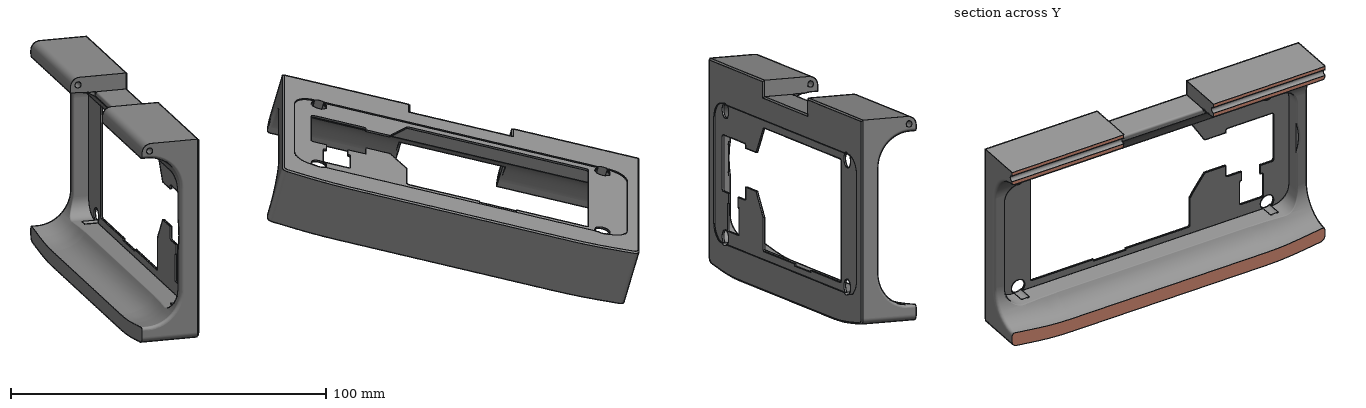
import cadquery as cq
import math

width = 117.0
depth = 19.0
height = 68.0
half_width = width / 2
overshoot = 1.0
margin = 0.1

lip_thickness = 5.0
lip_flat = 2.0
scoop_radius = 11.0
scoop_floor_y = lip_flat + scoop_radius
scoop_edge_radius = 1.0
scoop_top_z = height - lip_thickness

lip_straight_half = 36.1
lip_arc_run = 12.65
lip_rise_angle = 7.5
lip_arc_radius = lip_arc_run / math.sin(math.radians(lip_rise_angle))
bottom_corner_radius = 2.0
back_chamfer = 0.5

hinge_radius = 3.0
hinge_hole_diameter = 2.0
hinge_hole_inset = 2.5

gap_width = 33.4
gap_floor_z = 62.7
bar_depth = 10.6
bar_edge_radius = 0.7
bar_side_relief = 0.7

window_center_z = 32.6
window_width = 109.2
window_height = 45.0
window_corner_radius = 6.0
window_edge_radius = 0.4

clearance_radius = 15.6
clearance_x = 40.0
clearance_z = 35.9
clearance_floor_y = scoop_floor_y + 0.8

hole_diameter = 5.0
hole_spacing_x = 93.0
hole_spacing_z = 41.0
hole_depth = 5.3

plate_thickness = 0.6
plate_front_y = depth - 1.0

display_opening = (-41.9, 17.7, 12.6, 52.5)
display_step = (-18.3, -6.2, 12.0, window_center_z)
key_opening = (31.05, 49.0, 26.75, 45.0)
slot_opening = (36.25, 45.1, 14.45, 23.5)
slot_neck = (37.0, 44.0, 20.0, window_center_z)
opening_radius = 0.8
slot_radius = 0.5

funnel_end_x = 23.2
funnel_mouth_bottom = 23.5
funnel_mouth_top = 52.2
funnel_throat_bottom = 31.05
funnel_throat_top = 43.55


def lip_end(base_z, arc_radius, end_x):
    """Points of the right half of a lip line: arc start, arc middle, arc end and far end, as (x, z)."""

    def on_arc(angle):
        turn = math.radians(angle)
        return (lip_straight_half + arc_radius * math.sin(turn), base_z + arc_radius * (1 - math.cos(turn)))

    arc_end = on_arc(lip_rise_angle)
    rise = (end_x - arc_end[0]) * math.tan(math.radians(lip_rise_angle))
    return on_arc(0), on_arc(lip_rise_angle / 2), arc_end, (end_x, arc_end[1] + rise)


def mirrored(point):
    return (-point[0], point[1])


def frame_blank():
    """Front outline of the frame, extruded to its full depth."""
    start, middle, end, corner = lip_end(0, lip_arc_radius + lip_thickness, half_width)
    blank = (
        cq.Workplane("XZ")
        .moveTo(*mirrored(start))
        .lineTo(*start)
        .threePointArc(middle, end)
        .lineTo(*corner)
        .lineTo(half_width, height)
        .lineTo(gap_width / 2, height)
        .lineTo(gap_width / 2, gap_floor_z)
        .lineTo(-gap_width / 2, gap_floor_z)
        .lineTo(-gap_width / 2, height)
        .lineTo(-half_width, height)
        .lineTo(*mirrored(corner))
        .lineTo(*mirrored(end))
        .threePointArc(mirrored(middle), mirrored(start))
        .close()
        .extrude(-depth)
    )
    bottom_corners = cq.selectors.BoxSelector(
        (-width, -overshoot, corner[1] - margin), (width, depth + overshoot, corner[1] + margin)
    )
    blank = blank.edges("|Y").edges(bottom_corners).fillet(bottom_corner_radius)
    blank = blank.faces(">Y").chamfer(back_chamfer)
    return blank.edges("|X and <Y and >Z").fillet(hinge_radius)


def scoop_cutter():
    """Channel between the lips; its lower part follows the line of the bottom lip."""
    bend = scoop_radius * math.sqrt(0.5)
    upper_center_z = scoop_top_z - scoop_radius
    lower_center_z = lip_thickness + scoop_radius
    lip_line = lip_end(lip_thickness, lip_arc_radius, half_width + lip_thickness)
    upper_start_z = lower_center_z + scoop_radius / 2
    upper = (
        cq.Workplane("YZ")
        .moveTo(-overshoot, upper_start_z)
        .lineTo(scoop_floor_y, upper_start_z)
        .lineTo(scoop_floor_y, upper_center_z)
        .threePointArc((lip_flat + bend, upper_center_z + bend), (lip_flat, scoop_top_z))
        .lineTo(-overshoot, scoop_top_z)
        .close()
        .extrude(half_width + overshoot, both=True)
    )
    path = (
        cq.Workplane("XZ")
        .moveTo(0, lip_thickness)
        .lineTo(*lip_line[0])
        .threePointArc(lip_line[1], lip_line[2])
        .lineTo(*lip_line[3])
    )
    lower_half = (
        cq.Workplane("YZ")
        .moveTo(-overshoot, lip_thickness)
        .lineTo(lip_flat, lip_thickness)
        .threePointArc((lip_flat + bend, lower_center_z - bend), (scoop_floor_y, lower_center_z))
        .lineTo(scoop_floor_y, upper_start_z + scoop_radius)
        .lineTo(-overshoot, upper_start_z + scoop_radius)
        .close()
        .sweep(path)
    )
    return upper.union(lower_half).union(lower_half.mirror("YZ")).clean()


def round_scoop_ends(body):
    """Rounds the edges where the scoop runs out through the two ends of the frame."""
    ends = body.faces("<X or >X").edges(
        cq.selectors.BoxSelector(
            (-width, margin, lip_thickness + overshoot),
            (width, scoop_floor_y + margin, scoop_top_z + margin),
        )
    )
    return ends.fillet(scoop_edge_radius)


def window_prism(start_y, end_y):
    return (
        cq.Workplane("XZ", origin=(0, start_y, window_center_z))
        .rect(window_width, window_height)
        .extrude(start_y - end_y)
        .edges("|Y")
        .fillet(window_corner_radius)
    )


def screw_holes():
    return (
        cq.Workplane("XZ", origin=(0, depth, window_center_z))
        .rect(hole_spacing_x, hole_spacing_z, forConstruction=True)
        .vertices()
        .circle(hole_diameter / 2)
        .extrude(hole_depth)
    )


def cut_lip_gap(body):
    """Opens the middle of the top lip down to a plain bar."""
    bar_front_y = depth - bar_depth
    gap = cq.Workplane("XY", origin=(0, -overshoot, scoop_top_z - scoop_radius)).box(
        gap_width + 2 * bar_side_relief,
        bar_front_y + overshoot,
        gap_floor_z - scoop_top_z + scoop_radius,
        centered=(True, False, False),
    )
    bar_edge = cq.selectors.NearestToPointSelector((0, bar_front_y, gap_floor_z))
    return body.cut(gap).edges(bar_edge).fillet(bar_edge_radius)


def cut_window(body):
    """Opens the window and its round clearance, then rounds their front edge."""
    clearance = (
        cq.Workplane("XZ")
        .center(clearance_x, clearance_z)
        .circle(clearance_radius)
        .extrude(-clearance_floor_y)
    )
    body = body.cut(window_prism(0, depth)).cut(clearance)
    reach_x = clearance_x + clearance_radius + margin
    reach_z = window_height / 2 + margin
    front_edge = cq.selectors.BoxSelector(
        (-reach_x, lip_flat, window_center_z - reach_z),
        (reach_x, scoop_floor_y + margin, window_center_z + reach_z),
    )
    return body.edges(front_edge).fillet(window_edge_radius)


def make_frame():
    body = round_scoop_ends(frame_blank().cut(scoop_cutter()))
    body = cut_lip_gap(cut_window(body))
    hinge_hole = (
        cq.Workplane("YZ")
        .center(hinge_hole_inset, height - hinge_hole_inset)
        .circle(hinge_hole_diameter / 2)
        .extrude(half_width, both=True)
    )
    return body.cut(hinge_hole).cut(screw_holes())


def opening_prism(limits, corner_radius=0):
    """Rectangular cutter through the plate; without a radius its corners stay sharp."""
    left, right, bottom, top = limits
    prism = (
        cq.Workplane("XZ")
        .center((left + right) / 2, (bottom + top) / 2)
        .rect(right - left, top - bottom)
        .extrude(-depth - overshoot)
    )
    return prism.edges("|Y").fillet(corner_radius) if corner_radius else prism


def funnel_prism():
    mouth_x = display_opening[1]
    start_x = mouth_x - opening_radius
    end_x = key_opening[0] + opening_radius
    return (
        cq.Workplane("XZ")
        .moveTo(start_x, funnel_mouth_top)
        .lineTo(mouth_x, funnel_mouth_top)
        .lineTo(funnel_end_x, funnel_throat_top)
        .lineTo(end_x, funnel_throat_top)
        .lineTo(end_x, funnel_throat_bottom)
        .lineTo(funnel_end_x, funnel_throat_bottom)
        .lineTo(mouth_x, funnel_mouth_bottom)
        .lineTo(start_x, funnel_mouth_bottom)
        .close()
        .extrude(-depth - overshoot)
    )


def plate_opening():
    """Display opening with a small step below, funnel, key opening and the slot under the keys."""
    return (
        opening_prism(display_opening, opening_radius)
        .union(opening_prism(display_step))
        .union(funnel_prism())
        .union(opening_prism(key_opening, opening_radius))
        .union(opening_prism(slot_neck))
        .union(opening_prism(slot_opening, slot_radius))
    )


def make_plate():
    return window_prism(plate_front_y, plate_front_y + plate_thickness).cut(screw_holes()).cut(plate_opening())


frame = make_frame()
plate = make_plate()
result = cq.Compound.makeCompound([frame.val(), plate.val()])